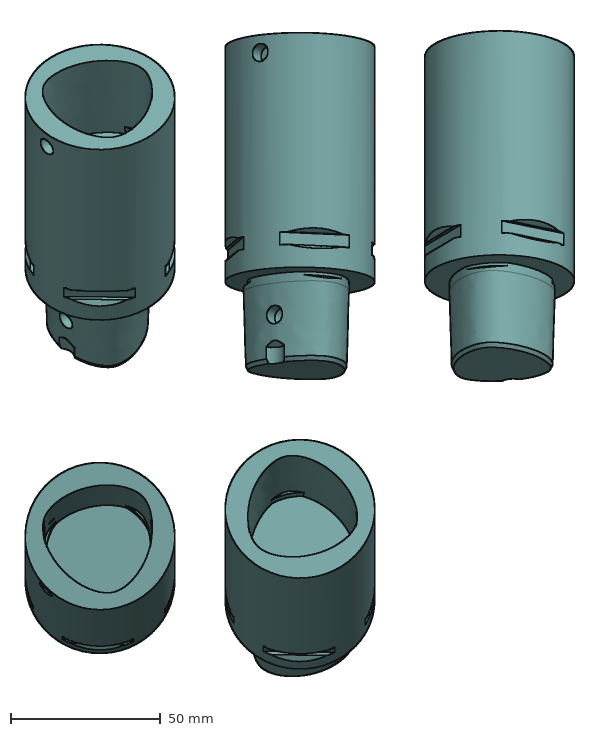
import cadquery as cq
import math

total_height = 110.0
body_diameter = 50.0
body_radius = body_diameter / 2
shank_height = 30.0
collar_height = 3.1
tip_chamfer_height = 1.5

lobe_spread = 2.5
lobe_swing = lobe_spread / 2
lobe_count = 3
curve_points = 36
lobe_angle = math.pi / 2

collar_diameter = 35.3
shank_low_diameter = 33.9
shank_tip_diameter = 32.5
bore_mouth_diameter = 36.6
bore_floor_diameter = 35.2
bore_depth = 33.0

relief_radius = 17.7
relief_wall_height = 1.1
relief_height = 2.0

foot_radius = 18.0
foot_height = 3.3

slot_count = 4
slot_floor_distance = 22.0
slot_flare_distance = 23.2
slot_width = 4.3
slot_flare = 1.3
slot_rise = 10.0
slot_z = shank_height + slot_rise

mark_diameter = 6.0
mark_depth = 5.5
mark_z = total_height - mark_diameter
drill_diameter = 6.2
drill_depth = 5.5
drill_point_angle = 118
drill_z = 16.2
notch_radius = 4.4
notch_axis_distance = 18.0
notch_height = 5.5
notch_tip_height = 3.8


def lobed_wire(mean_diameter, z):
    """Closed three-lobed curve of constant width, with one lobe pointing to +Y."""

    def point(angle):
        phase = lobe_count * (angle - lobe_angle)
        reach = mean_diameter / 2 + lobe_swing * math.cos(phase)
        slope = -lobe_count * lobe_swing * math.sin(phase)
        x = reach * math.cos(angle) - slope * math.sin(angle)
        y = reach * math.sin(angle) + slope * math.cos(angle)
        return cq.Vector(x, y, z)

    step = 2 * math.pi / curve_points
    points = [point(lobe_angle + index * step) for index in range(curve_points)]
    return cq.Wire.assembleEdges([cq.Edge.makeSpline(points, periodic=True)])


def lobed_solid(low_diameter, high_diameter, low_z, high_z):
    low_wire = lobed_wire(low_diameter, low_z)
    high_wire = lobed_wire(high_diameter, high_z)
    return cq.Workplane(cq.Solid.makeLoft([low_wire, high_wire], True))


def body():
    return (
        cq.Workplane("XY", origin=(0, 0, shank_height))
        .circle(body_radius)
        .extrude(total_height - shank_height)
    )


def bore():
    """Tapered lobed socket, with its lobes cut short in the foot."""
    floor_z = total_height - bore_depth
    socket = lobed_solid(bore_floor_diameter, bore_mouth_diameter, floor_z, total_height)
    foot_ring = (
        cq.Workplane("XY", origin=(0, 0, floor_z))
        .circle(body_radius)
        .circle(foot_radius)
        .extrude(foot_height)
    )
    return socket.cut(foot_ring)


def shank():
    """Tapered lobed shank between a chamfered tip and a straight collar."""
    collar_z = shank_height - collar_height
    tip = lobed_solid(shank_tip_diameter, shank_low_diameter, 0, tip_chamfer_height)
    taper = lobed_solid(shank_low_diameter, collar_diameter, tip_chamfer_height, collar_z)
    collar = lobed_solid(collar_diameter, collar_diameter, collar_z, shank_height)
    return tip.union(taper).union(collar).cut(relief())


def relief():
    lobe_reach = collar_diameter / 2 + lobe_swing
    return (
        cq.Workplane("XZ")
        .moveTo(relief_radius, shank_height)
        .lineTo(relief_radius, shank_height - relief_wall_height)
        .lineTo(lobe_reach, shank_height - relief_height)
        .lineTo(body_radius, shank_height - relief_height)
        .lineTo(body_radius, shank_height)
        .close()
        .revolve(360, (0, 0, 0), (0, 1, 0))
    )


def gripper_slot():
    """Slot across the +X side: flat floor, straight walls, flared mouth."""
    half_width = slot_width / 2
    half_mouth = half_width + slot_flare
    return (
        cq.Workplane("XZ", origin=(0, 0, slot_z))
        .moveTo(slot_floor_distance, -half_width)
        .lineTo(slot_flare_distance, -half_width)
        .lineTo(body_radius, -half_mouth)
        .lineTo(body_radius, half_mouth)
        .lineTo(slot_flare_distance, half_width)
        .lineTo(slot_floor_distance, half_width)
        .close()
        .extrude(body_radius, both=True)
    )


def mark_hole():
    return (
        cq.Workplane("XZ", origin=(0, -body_radius, mark_z))
        .circle(mark_diameter / 2)
        .extrude(-mark_depth)
    )


def drilled_hole():
    """Blind hole in the flat side of the shank, ending in a drill point."""
    radius = drill_diameter / 2
    point_length = radius / math.tan(math.radians(drill_point_angle / 2))
    surface_y = lobe_swing - collar_diameter / 2
    return (
        cq.Workplane("XY", origin=(0, surface_y, drill_z))
        .lineTo(radius, 0)
        .lineTo(radius, drill_depth)
        .lineTo(0, drill_depth + point_length)
        .close()
        .revolve(360, (0, 0, 0), (0, 1, 0))
    )


def notch():
    """Upright round-backed notch in the tip, ending in a cone."""
    return (
        cq.Workplane("XZ", origin=(0, -notch_axis_distance, 0))
        .lineTo(notch_radius, 0)
        .lineTo(notch_radius, notch_height)
        .lineTo(0, notch_height + notch_tip_height)
        .close()
        .revolve(360, (0, 0, 0), (0, 1, 0))
    )


result = body().cut(bore()).union(shank())

for index in range(slot_count):
    slot_angle = 360 / slot_count * (index + 0.5)
    result = result.cut(gripper_slot().rotate((0, 0, 0), (0, 0, 1), slot_angle))

result = result.cut(mark_hole()).cut(drilled_hole()).cut(notch())